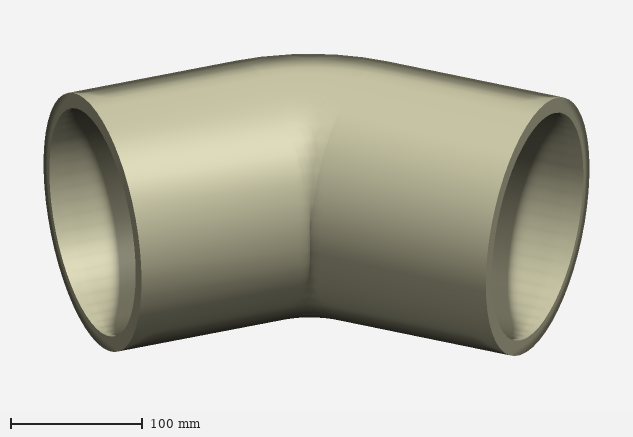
import cadquery as cq
import math

outer_diameter = 200.0
wall = 12.0
bend_angle = 45
overall_length = 381.7
outlet_length = 145.0

outer_radius = outer_diameter / 2
bore_radius = outer_radius - wall
bend_radius = outer_radius

angle = math.radians(bend_angle)
outlet_direction = cq.Vector(math.sin(angle), math.cos(angle), 0)
bend_end = cq.Vector(bend_radius * (1 - math.cos(angle)), bend_radius * math.sin(angle), 0)

inlet_length = overall_length - outer_diameter * math.sin(angle) - outlet_length * math.cos(angle)


def elbow_rod(radius):
    """Solid round rod following the inlet, bend and outlet; the bend starts at the origin."""
    inlet = cq.Workplane("XZ").circle(radius).extrude(inlet_length)
    bend = (
        cq.Workplane("XZ")
        .circle(radius)
        .revolve(bend_angle, (bend_radius, 4, 0), (bend_radius, 0, 0))
    )
    outlet = cq.Workplane(
        cq.Solid.makeCylinder(radius, outlet_length, bend_end, outlet_direction)
    )
    return inlet.union(bend).union(outlet)


result = elbow_rod(outer_radius).cut(elbow_rod(bore_radius))